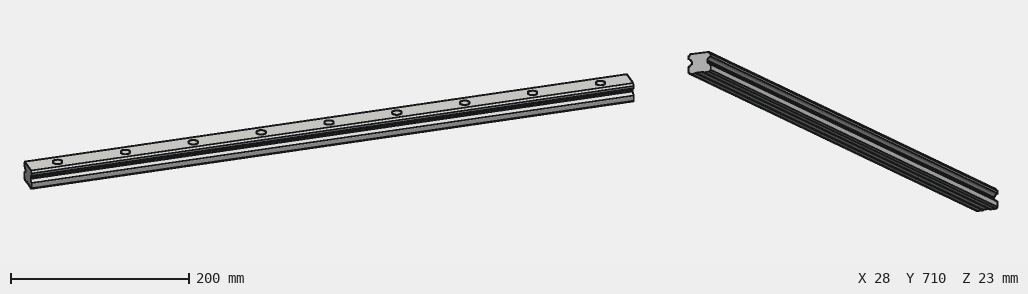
import cadquery as cq
import math

WIDTH = 28.0
LENGTH = 710.0
HEIGHT = 23.0

RELIEF_WIDTH = 9.0
RELIEF_DEPTH = 0.7
BOTTOM_CHAMFER = 1.9
BASE_SIDE_TOP_Z = 7.0
SHOULDER_WIDTH = 27.4
SHOULDER_Z = 8.3
NECK_WIDTH = 21.6
NECK_Z = 10.2

WAIST_WIDTH = 19.2
WAIST_BOTTOM_Z = 11.4
WAIST_TOP_Z = 13.5

LOWER_TRACK_WIDTH = 21.2
LOWER_TRACK_Z = 14.8
HEAD_SIDE_BOTTOM_Z = 17.5
HEAD_SIDE_TOP_Z = 20.5
TOP_FACE_WIDTH = 23.4
TRACK_SAG = 0.45

HOLE_COUNT = 9
HOLE_PITCH = 80.0
HOLE_DIAMETER = 11.0
CAP_RECESS = 0.5


def track_bottom(start, end):
    """Return the deepest point of a ball track, which lies to the left of the chord start-end."""
    run = end[0] - start[0]
    rise = end[1] - start[1]
    chord = math.hypot(run, rise)
    mid_x = (start[0] + end[0]) / 2
    mid_z = (start[1] + end[1]) / 2
    return (mid_x - TRACK_SAG * rise / chord, mid_z + TRACK_SAG * run / chord)


def mirrored(point):
    """Reflect a section point across the rail's middle plane."""
    return (-point[0], point[1])


def make_rail():
    """Extrude the symmetric rail section along Y, centred on the origin in X and Y."""
    side_x = WIDTH / 2
    relief_x = RELIEF_WIDTH / 2
    base_side = [
        (relief_x, RELIEF_DEPTH),
        (relief_x, 0),
        (side_x - BOTTOM_CHAMFER, 0),
        (side_x, BOTTOM_CHAMFER),
        (side_x, BASE_SIDE_TOP_Z),
        (SHOULDER_WIDTH / 2, SHOULDER_Z),
        (NECK_WIDTH / 2, NECK_Z),
        (WAIST_WIDTH / 2, WAIST_BOTTOM_Z),
        (WAIST_WIDTH / 2, WAIST_TOP_Z),
        (LOWER_TRACK_WIDTH / 2, LOWER_TRACK_Z),
    ]
    track_start = base_side[-1]
    head_bottom = (side_x, HEAD_SIDE_BOTTOM_Z)
    head_top = (side_x, HEAD_SIDE_TOP_Z)
    top_corner = (TOP_FACE_WIDTH / 2, HEIGHT)
    lower_track = track_bottom(track_start, head_bottom)
    upper_track = track_bottom(head_top, top_corner)

    section = (
        cq.Workplane("XZ")
        .polyline(base_side)
        .threePointArc(lower_track, head_bottom)
        .lineTo(*head_top)
        .threePointArc(upper_track, top_corner)
        .lineTo(*mirrored(top_corner))
        .threePointArc(mirrored(upper_track), mirrored(head_top))
        .lineTo(*mirrored(head_bottom))
        .threePointArc(mirrored(lower_track), mirrored(track_start))
    )
    for point in reversed(base_side[:-1]):
        section = section.lineTo(*mirrored(point))
    return section.close().extrude(LENGTH / 2, both=True)


def cut_cap_recesses(rail):
    """Sink one shallow round recess per mounting hole along the middle of the top face."""
    recess_floor = cq.Workplane("XY").workplane(offset=HEIGHT - CAP_RECESS)
    centres = recess_floor.rarray(1, HOLE_PITCH, 1, HOLE_COUNT)
    return rail.cut(centres.circle(HOLE_DIAMETER / 2).extrude(CAP_RECESS))


result = cut_cap_recesses(make_rail())